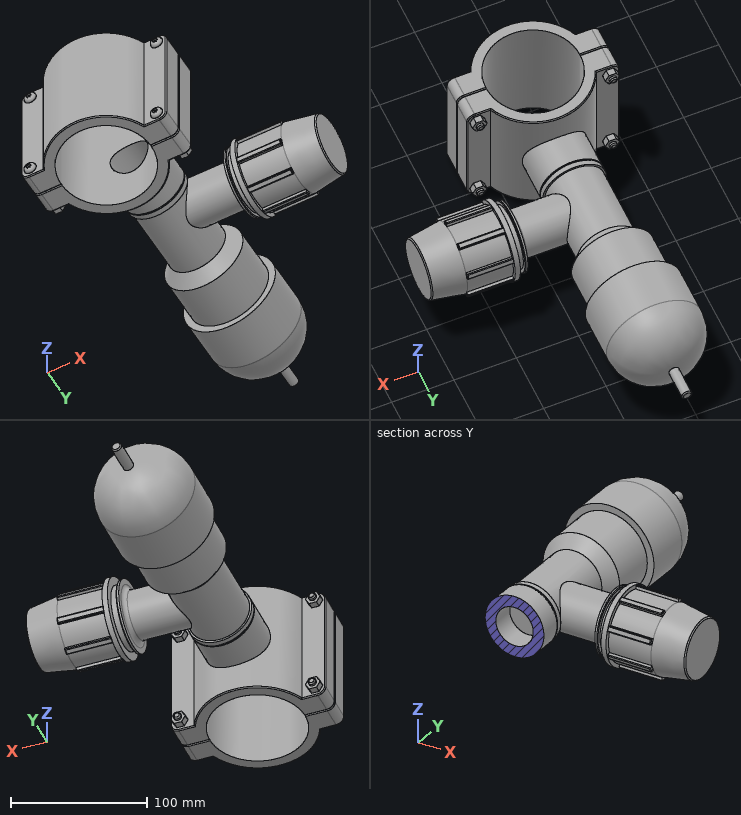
import cadquery as cq
import math


clamp_height = 98.0
clamp_bore_diameter = 75.2
clamp_outer_diameter = 93.0
clamp_outer_radius = clamp_outer_diameter / 2
lug_width = 122.0
lug_thickness = 37.8
lug_corner_radius = 6.2
clamp_edge_chamfer = 0.82

bolt_x = 53.2
bolt_z = 41.0
bolt_diameter = 6.0
bolt_tip_length = 2.5
bolt_tip_chamfer = 1.0
nut_across_flats = 10.2
nut_height = 5.3
head_diameter = 10.0
head_height = 3.3
head_rounding = 3.0
socket_across_corners = 4.0
socket_depth = 1.5

stub_diameter = 51.2
stub_bore_diameter = 32.0
stub_bore_end = 72.0
groove_diameter = 48.0
groove_start = 71.0
groove_width = 1.0
stub_end = 76.2
tube_diameter = 48.0
tube_end = 135.5
body_diameter = 66.3
body_start = 145.5
body_end = 184.0
cap_diameter = 77.8
dome_start = 222.5
cable_diameter = 8.2
cable_chamfer = 1.0
total_length = 328.5
cable_end = total_length - clamp_outer_radius

branch_y = 98.0
branch_diameter = 38.5
flare_start = 56.5
flare_diameter = 48.0
flare_bulge = 0.72
washer_diameter = 57.5
washer_start = 59.5
washer_thickness = 2.3
washer_chamfer = 0.5
neck_diameter = 50.5
collar_diameter = 64.5
collar_start = 67.0
collar_thickness = 4.3
grip_diameter = 57.5
grip_end = 108.0
nose_diameter = 49.3
nose_chamfer = 1.0
total_width = 196.0
branch_end = total_width - lug_width / 2
rib_count = 8
rib_tip_radius = 31.5
rib_width = 4.5
rib_chamfer = 0.5


def rod_y(diameter, start, end):
    """Cylinder on the Y axis between two stations."""
    return cq.Workplane("XZ", origin=(0, start, 0)).circle(diameter / 2).extrude(start - end)


def make_clamp():
    ring = (
        cq.Workplane("XY")
        .circle(clamp_outer_radius)
        .extrude(clamp_height / 2, both=True)
        .faces("|Z")
        .edges()
        .chamfer(clamp_edge_chamfer)
    )
    seam = cq.Workplane("XY").box(lug_width, 2 * clamp_edge_chamfer, clamp_height)
    plate = (
        cq.Workplane("XY")
        .box(lug_width, lug_thickness / 2, clamp_height)
        .edges("|Y")
        .fillet(lug_corner_radius)
        .faces("|Y")
        .edges()
        .chamfer(clamp_edge_chamfer)
        .translate((0, lug_thickness / 4, 0))
    )
    return ring.cut(seam).union(plate).union(plate.mirror("XZ"))


def make_bolt():
    """Button-head bolt with a hex nut, its axis on Y."""
    lug_face = lug_thickness / 2
    nut_end = lug_face + nut_height
    shank = rod_y(bolt_diameter, -lug_face, nut_end + bolt_tip_length)
    shank = shank.faces(">Y").edges().chamfer(bolt_tip_chamfer)
    nut_across_corners = nut_across_flats / math.cos(math.pi / 6)
    nut = (
        cq.Workplane("XZ", origin=(0, lug_face, 0))
        .polygon(6, nut_across_corners)
        .extrude(-nut_height)
    )
    head = rod_y(head_diameter, -lug_face - head_height, -lug_face)
    head = head.faces("<Y").edges().fillet(head_rounding)
    socket = (
        cq.Workplane("XZ", origin=(0, -lug_face - head_height, 0))
        .polygon(6, socket_across_corners)
        .extrude(-socket_depth)
    )
    return shank.union(nut).union(head).cut(socket)


def make_main_tube():
    cap_radius = cap_diameter / 2
    cable_radius = cable_diameter / 2
    dome_radius = cap_radius - cable_radius
    dome_middle = (
        cable_radius + dome_radius * math.sqrt(0.5),
        dome_start + dome_radius * math.sqrt(0.5),
    )
    return (
        cq.Workplane("XY")
        .lineTo(stub_diameter / 2, 0)
        .lineTo(stub_diameter / 2, groove_start)
        .lineTo(groove_diameter / 2, groove_start)
        .lineTo(groove_diameter / 2, groove_start + groove_width)
        .lineTo(stub_diameter / 2, groove_start + groove_width)
        .lineTo(stub_diameter / 2, stub_end)
        .lineTo(tube_diameter / 2, stub_end)
        .lineTo(tube_diameter / 2, tube_end)
        .lineTo(body_diameter / 2, body_start)
        .lineTo(body_diameter / 2, body_end)
        .lineTo(cap_radius, body_end)
        .lineTo(cap_radius, dome_start)
        .threePointArc(dome_middle, (cable_radius, dome_start + dome_radius))
        .lineTo(cable_radius, cable_end - cable_chamfer)
        .lineTo(cable_radius - cable_chamfer, cable_end)
        .lineTo(0, cable_end)
        .close()
        .revolve(360, (0, 0), (0, 1))
    )


def make_rib():
    """Grip rib standing along +Y from the branch axis, its outer edges chamfered."""
    rib_length = grip_end - collar_start
    return (
        cq.Workplane("XY")
        .box(rib_length, rib_tip_radius, rib_width, centered=(False, False, True))
        .faces(">Y")
        .edges()
        .chamfer(rib_chamfer)
        .translate((collar_start, 0, 0))
    )


def make_branch():
    washer_end = washer_start + washer_thickness
    collar_end = collar_start + collar_thickness
    flare_middle = (
        flare_start + flare_bulge * (washer_start - flare_start),
        branch_diameter / 2 + (1 - flare_bulge) * (flare_diameter - branch_diameter) / 2,
    )
    nose_radius = nose_diameter / 2
    turned = (
        cq.Workplane("XY", origin=(0, branch_y, 0))
        .lineTo(0, branch_diameter / 2)
        .lineTo(flare_start, branch_diameter / 2)
        .threePointArc(flare_middle, (washer_start, flare_diameter / 2))
        .lineTo(washer_start, washer_diameter / 2)
        .lineTo(washer_end - washer_chamfer, washer_diameter / 2)
        .lineTo(washer_end, washer_diameter / 2 - washer_chamfer)
        .lineTo(washer_end, neck_diameter / 2)
        .lineTo(collar_start, neck_diameter / 2)
        .lineTo(collar_start, collar_diameter / 2)
        .lineTo(collar_end, collar_diameter / 2)
        .lineTo(collar_end, grip_diameter / 2)
        .lineTo(grip_end, grip_diameter / 2)
        .lineTo(branch_end - nose_chamfer, nose_radius)
        .lineTo(branch_end, nose_radius - nose_chamfer)
        .lineTo(branch_end, 0)
        .close()
        .revolve(360, (0, 0), (1, 0))
    )
    for i in range(rib_count):
        angle = (i + 0.5) * 360 / rib_count
        rib = make_rib().rotate((0, 0, 0), (1, 0, 0), angle)
        turned = turned.union(rib.translate((0, branch_y, 0)))
    return turned


result = make_clamp().union(make_main_tube()).union(make_branch())
clamp_bore = cq.Workplane("XY").circle(clamp_bore_diameter / 2).extrude(clamp_height, both=True)
result = result.cut(clamp_bore)
result = result.cut(rod_y(stub_bore_diameter, 0, stub_bore_end))

bolt = make_bolt()
for x in (-bolt_x, bolt_x):
    for z in (-bolt_z, bolt_z):
        result = result.union(bolt.translate((x, 0, z)))